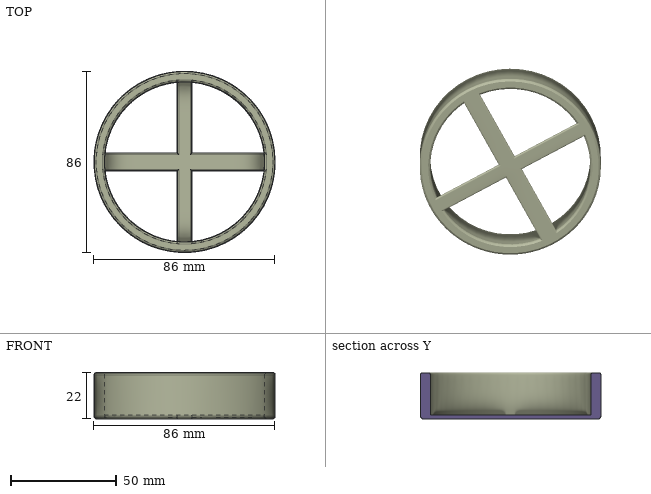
import cadquery as cq

outer_diameter = 86.0
inner_diameter = 76.0
height = 22.0
rim_fillet = 1.0
base_chamfer = 1.0
blend_radius = 1.0

spoke_x_width = 8.5
spoke_y_width = 7.0
spoke_thickness = 2.0
spoke_fillet = 0.75


def make_ring():
    """Ring with rounded top edges and bottom chamfers that blend into the walls."""
    ring = (
        cq.Workplane("XY")
        .circle(outer_diameter / 2)
        .circle(inner_diameter / 2)
        .extrude(height)
    )
    ring = ring.faces(">Z").edges().fillet(rim_fillet)
    ring = ring.faces("<Z").edges().chamfer(base_chamfer)

    half_band = base_chamfer / 4
    chamfer_tops = cq.selectors.BoxSelector(
        (-half_band, -half_band, base_chamfer - half_band),
        (half_band, half_band, base_chamfer + half_band),
    )
    return ring.edges("%CIRCLE").edges(chamfer_tops).fillet(blend_radius)


def make_cross():
    """Two crossing spokes with rounded edges, ending inside the ring wall."""
    span = (outer_diameter + inner_diameter) / 2
    x_spoke = cq.Workplane("XY").rect(span, spoke_x_width).extrude(spoke_thickness)
    y_spoke = cq.Workplane("XY").rect(spoke_y_width, span).extrude(spoke_thickness)
    cross = x_spoke.union(y_spoke)
    return cross.faces("<Z or >Z").edges().fillet(spoke_fillet)


result = make_ring().union(make_cross())